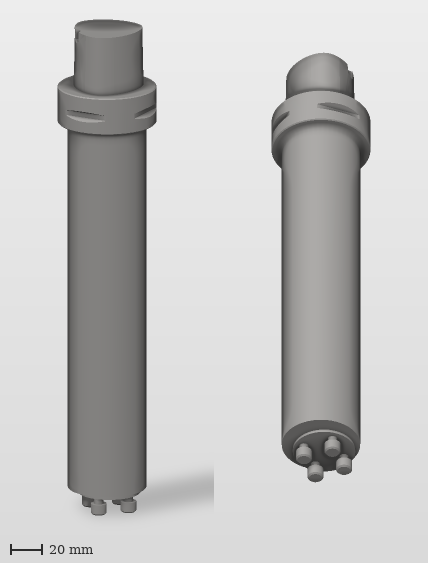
import cadquery as cq
import math

total_height = 317
flange_top = 279.3
flange_bottom = 255.2
body_bottom = 13.3
disc_bottom = 11.5
head_height = 7.0

flange_diameter = 63.0
flange_chamfer = 0.5
body_diameter = 50.0
body_fillet = 3.2
disc_diameter = 40.0
screw_shank_diameter = 6.0
screw_head_diameter = 10.0
screw_head_chamfer = 1.0
screw_spacing = 19.5

shank_width_top = 43.0
shank_taper = 1 / 24
lobe_height = 1.43
lobe_count = 3
flank_half_angle = 24

notch_diameter = 9.0
notch_axis_offset = 22.2
notch_depth = 6.3
drill_point_angle = 118

slot_depth_from_top = 50.7
slot_floor_width = 3.2
slot_floor_distance = 28.0
slot_mouth_width = 6.5
slot_count = 4


def cylinder(diameter, bottom, top, x=0, y=0):
    return cq.Workplane("XY", origin=(x, y, bottom)).circle(diameter / 2).extrude(top - bottom)


def make_turned_holder():
    flange_radius = flange_diameter / 2
    body_radius = body_diameter / 2
    return (
        cq.Workplane("XZ")
        .moveTo(0, body_bottom)
        .lineTo(body_radius, body_bottom)
        .lineTo(body_radius, flange_bottom - body_fillet)
        .radiusArc((body_radius + body_fillet, flange_bottom), body_fillet)
        .lineTo(flange_radius - flange_chamfer, flange_bottom)
        .lineTo(flange_radius, flange_bottom + flange_chamfer)
        .lineTo(flange_radius, flange_top - flange_chamfer)
        .lineTo(flange_radius - flange_chamfer, flange_top)
        .lineTo(0, flange_top)
        .close()
        .revolve(360, (0, 0), (0, 1))
    )


def lobed_wire(width, height):
    """Outline of the shank: smooth flank and lobe curves in turn.

    Each point is where the tangent line at right angles to the given angle meets the curve.
    """
    def point(angle):
        support = width / 2 + lobe_height * math.cos(lobe_count * (angle - math.pi / 2))
        slope = -lobe_count * lobe_height * math.sin(lobe_count * (angle - math.pi / 2))
        x = support * math.cos(angle) - slope * math.sin(angle)
        y = support * math.sin(angle) + slope * math.cos(angle)
        return cq.Vector(x, y, height)

    def edge(start, end):
        steps = 8
        points = [point(start + (end - start) * step / steps) for step in range(steps + 1)]
        tangents = [cq.Vector(-math.sin(angle), math.cos(angle), 0) for angle in (start, end)]
        return cq.Edge.makeSpline(points, tangents=tangents)

    pitch = 2 * math.pi / lobe_count
    flank = math.radians(flank_half_angle)
    edges = []
    for index in range(lobe_count):
        flank_middle = index * pitch - math.pi / 2
        flank_end = flank_middle + flank
        edges.append(edge(flank_middle - flank, flank_end))
        edges.append(edge(flank_end, flank_middle + pitch - flank))
    return cq.Wire.assembleEdges(edges)


def make_shank():
    width_bottom = shank_width_top + shank_taper * (total_height - flange_top)
    bottom_wire = lobed_wire(width_bottom, flange_top)
    top_wire = lobed_wire(shank_width_top, total_height)
    return cq.Workplane(cq.Solid.makeLoft([bottom_wire, top_wire], True))


def make_notch():
    radius = notch_diameter / 2
    point_length = radius / math.tan(math.radians(drill_point_angle / 2))
    return (
        cq.Workplane("XZ", origin=(0, -notch_axis_offset, total_height))
        .polyline([(0, 0), (radius, 0), (radius, -notch_depth), (0, -notch_depth - point_length)])
        .close()
        .revolve(360, (0, 0), (0, 1))
    )


def make_slot(angle):
    rim_radius = flange_diameter / 2
    z = total_height - slot_depth_from_top
    section = [
        (slot_floor_distance, z - slot_floor_width / 2),
        (rim_radius, z - slot_mouth_width / 2),
        (rim_radius, z + slot_mouth_width / 2),
        (slot_floor_distance, z + slot_floor_width / 2),
    ]
    slot = cq.Workplane("XZ").polyline(section).close().extrude(rim_radius, both=True)
    return slot.rotate((0, 0, 0), (0, 0, 1), angle)


def make_screw(x, y):
    shank = cylinder(screw_shank_diameter, head_height, body_bottom, x, y)
    head = cylinder(screw_head_diameter, 0, head_height, x, y)
    return shank.union(head.faces("<Z").chamfer(screw_head_chamfer))


holder = make_turned_holder()
for index in range(slot_count):
    holder = holder.cut(make_slot((index + 0.5) * 360 / slot_count))

disc_x = (body_diameter - disc_diameter) / 2
disc = cylinder(disc_diameter, disc_bottom, body_bottom, disc_x)

result = holder.union(make_shank().cut(make_notch())).union(disc)

for side_x in (-1, 1):
    for side_y in (-1, 1):
        screw = make_screw(disc_x + side_x * screw_spacing / 2, side_y * screw_spacing / 2)
        result = result.union(screw)